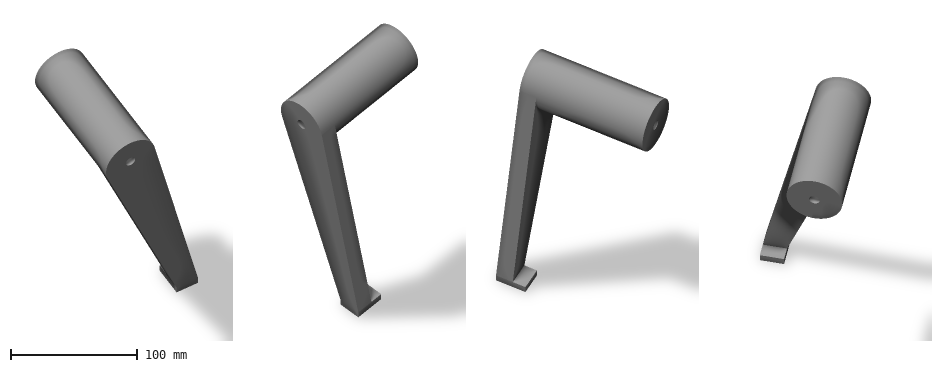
import cadquery as cq
import math

grip_length = 110.0
grip_diameter = 45.0
bore_diameter = 8.5

arm_thickness = 15.0

foot_length = 26.25
foot_width = 19.6
foot_height = 6.0

overall_width = 84.38
overall_height = 207.93

grip_radius = grip_diameter / 2
foot_back_y = overall_width - grip_radius
foot_front_y = foot_back_y - foot_width
foot_bottom_z = grip_radius - overall_height
foot_top_z = foot_bottom_z + foot_height


def tangent_point(y, z, side):
    """Point where a line from (y, z) touches the grip circle; side is +1 for +Y, -1 for -Y."""
    distance = math.hypot(y, z)
    angle = math.atan2(z, y) + side * math.acos(grip_radius / distance)
    return grip_radius * math.cos(angle), grip_radius * math.sin(angle)


def make_grip():
    return cq.Workplane("YZ").circle(grip_radius).extrude(grip_length)


def make_arm():
    """Tapered plate whose two edges run tangent from the grip to the foot."""
    outline = [
        (foot_front_y, foot_top_z),
        (foot_back_y, foot_top_z),
        tangent_point(foot_back_y, foot_top_z, 1),
        (0, 0),
        tangent_point(foot_front_y, foot_top_z, -1),
    ]
    plane = cq.Workplane("YZ", origin=(grip_length - arm_thickness, 0, 0))
    return plane.polyline(outline).close().extrude(arm_thickness)


def make_foot():
    corner = (grip_length - foot_length, foot_front_y, foot_bottom_z)
    size = (foot_length, foot_width, foot_height)
    return cq.Workplane("XY", origin=corner).box(*size, centered=False)


def make_bore():
    """Through hole along the grip axis."""
    return cq.Workplane("YZ").circle(bore_diameter / 2).extrude(grip_length)


result = make_grip().union(make_arm()).union(make_foot()).cut(make_bore())